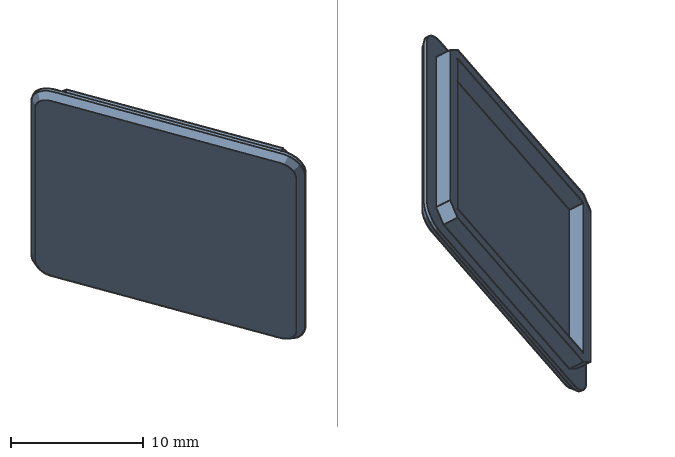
import cadquery as cq

plate_side = 21.85
total_depth = 2.03

plate_thickness = 0.76
plate_corner_radius = 1.81
front_bevel = 0.5

rim_side = 19.3
rim_corner_chamfer = 1.03
rim_wall = 1.03
rim_height = total_depth - plate_thickness

front_y = -total_depth / 2
plate_back_y = front_y + plate_thickness


def square_block(side, start_y, depth):
    """Square block centred on the Y axis, running from start_y toward +Y."""
    start_plane = cq.Workplane("XZ", origin=(0, start_y, 0))
    return start_plane.rect(side, side).extrude(-depth)


def front_plate():
    """Rounded square plate with a 45 degree bevel around its front face."""
    plate = square_block(plate_side, front_y, plate_thickness)
    plate = plate.edges("|Y").fillet(plate_corner_radius)
    return plate.faces("<Y").edges().chamfer(front_bevel)


def rear_rim():
    """Square rim with chamfered outer corners, hollow down to the plate."""
    outer = square_block(rim_side, plate_back_y, rim_height)
    outer = outer.edges("|Y").chamfer(rim_corner_chamfer)
    recess_side = rim_side - 2 * rim_wall
    return outer.cut(square_block(recess_side, plate_back_y, rim_height))


result = front_plate().union(rear_rim())